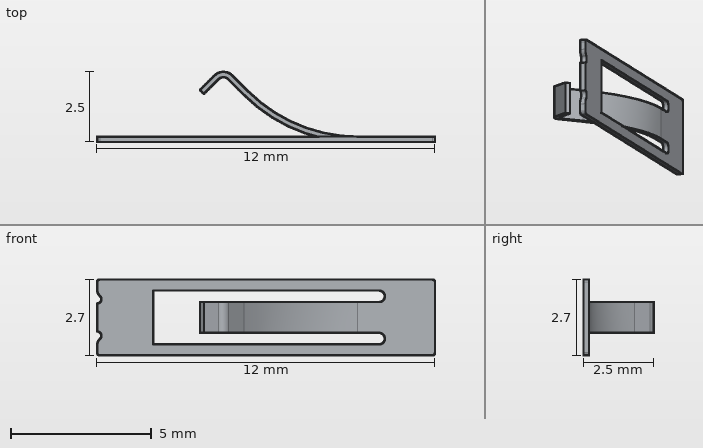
import cadquery as cq
import math

length = 12.0
height = 2.7
thickness = 0.2
corner_radius = 0.1
half_height = height / 2

window_left = 2.0
slot_width = 0.4
rail_height = 0.4
slot_right = 10.21
window_height = height - 2 * rail_height
tongue_height = window_height - 2 * slot_width

notch_radius = 0.15
notch_center_z = half_height - 0.7
shoulder_radius = 0.3

overall_depth = 2.5
tongue_root_x = 9.25
sweep_outer_radius = 5.7
sweep_angle = math.radians(45)
bend_inner_radius = 0.25
tip_end_x = 3.65


def make_frame():
    return (
        cq.Workplane("XY")
        .box(length, thickness, height, centered=(False, False, True))
        .edges("|Y")
        .fillet(corner_radius)
    )


def make_prism_cut(outline):
    """Extrude an outline of the XZ plane through the frame thickness."""
    return outline.extrude(-thickness)


def make_window():
    """Rectangular opening extended to the right by two round-ended slots."""
    opening_length = tongue_root_x - window_left
    window = make_prism_cut(
        cq.Workplane("XZ")
        .center(window_left + opening_length / 2, 0)
        .rect(opening_length, window_height)
    )
    slot_length = slot_right - window_left
    slot_z = (window_height - slot_width) / 2
    for side in (1, -1):
        slot = make_prism_cut(
            cq.Workplane("XZ")
            .center(window_left + slot_length / 2, side * slot_z)
            .slot2D(slot_length, slot_width)
        )
        window = window.union(slot)
    return window


def make_notch(side):
    """Notch in the left edge; side is +1 for the upper one, -1 for the lower."""
    center_distance = notch_radius + shoulder_radius
    shoulder_z = notch_center_z + math.sqrt(center_distance**2 - shoulder_radius**2)
    blend = notch_radius / center_distance
    blend_x = blend * shoulder_radius
    blend_z = notch_center_z + blend * (shoulder_z - notch_center_z)
    blend_angle = math.atan2(blend_z - shoulder_z, blend_x - shoulder_radius)
    middle_angle = (blend_angle - math.pi) / 2
    shoulder_middle_x = shoulder_radius + shoulder_radius * math.cos(middle_angle)
    shoulder_middle_z = shoulder_z + shoulder_radius * math.sin(middle_angle)
    return make_prism_cut(
        cq.Workplane("XZ")
        .moveTo(0, side * (notch_center_z - notch_radius))
        .threePointArc((notch_radius, side * notch_center_z), (blend_x, side * blend_z))
        .threePointArc((shoulder_middle_x, side * shoulder_middle_z), (0, side * shoulder_z))
        .close()
    )


def make_tongue():
    """Strip that sweeps out of the frame plane and folds back at its tip."""
    sine = math.sin(sweep_angle)
    cosine = math.cos(sweep_angle)
    half_sine = math.sin(sweep_angle / 2)
    half_cosine = math.cos(sweep_angle / 2)
    sweep_center_y = sweep_outer_radius
    sweep_inner_radius = sweep_outer_radius - thickness
    bend_outer_radius = bend_inner_radius + thickness
    bend_center_y = overall_depth - bend_outer_radius

    ramp_rise = (bend_center_y + bend_inner_radius * cosine) - sweep_outer_radius * (1 - cosine)
    ramp_run = ramp_rise / math.tan(sweep_angle)
    bend_center_x = tongue_root_x - sweep_outer_radius * sine - ramp_run - bend_inner_radius * sine

    def on_sweep(radius, angle_sine, angle_cosine):
        return (tongue_root_x - radius * angle_sine, sweep_center_y - radius * angle_cosine)

    def on_bend(radius, angle_sine, angle_cosine):
        return (bend_center_x + radius * angle_sine, bend_center_y + radius * angle_cosine)

    bend_outer_end = on_bend(bend_outer_radius, -sine, cosine)
    tip_run = bend_outer_end[0] - tip_end_x
    tip_outer = (tip_end_x, bend_outer_end[1] - tip_run * math.tan(sweep_angle))
    tip_inner = (tip_outer[0] + thickness * sine, tip_outer[1] - thickness * cosine)

    return (
        cq.Workplane("XY")
        .moveTo(tongue_root_x, 0)
        .threePointArc(
            on_sweep(sweep_outer_radius, half_sine, half_cosine),
            on_sweep(sweep_outer_radius, sine, cosine),
        )
        .lineTo(*on_bend(bend_inner_radius, sine, cosine))
        .threePointArc(
            on_bend(bend_inner_radius, 0, 1),
            on_bend(bend_inner_radius, -sine, cosine),
        )
        .lineTo(*tip_inner)
        .lineTo(*tip_outer)
        .lineTo(*bend_outer_end)
        .threePointArc(
            on_bend(bend_outer_radius, 0, 1),
            on_bend(bend_outer_radius, sine, cosine),
        )
        .lineTo(*on_sweep(sweep_inner_radius, sine, cosine))
        .threePointArc(
            on_sweep(sweep_inner_radius, half_sine, half_cosine),
            on_sweep(sweep_inner_radius, 0, 1),
        )
        .close()
        .extrude(tongue_height / 2, both=True)
    )


frame = make_frame().cut(make_window())
for notch_side in (1, -1):
    frame = frame.cut(make_notch(notch_side))

result = frame.union(make_tongue())